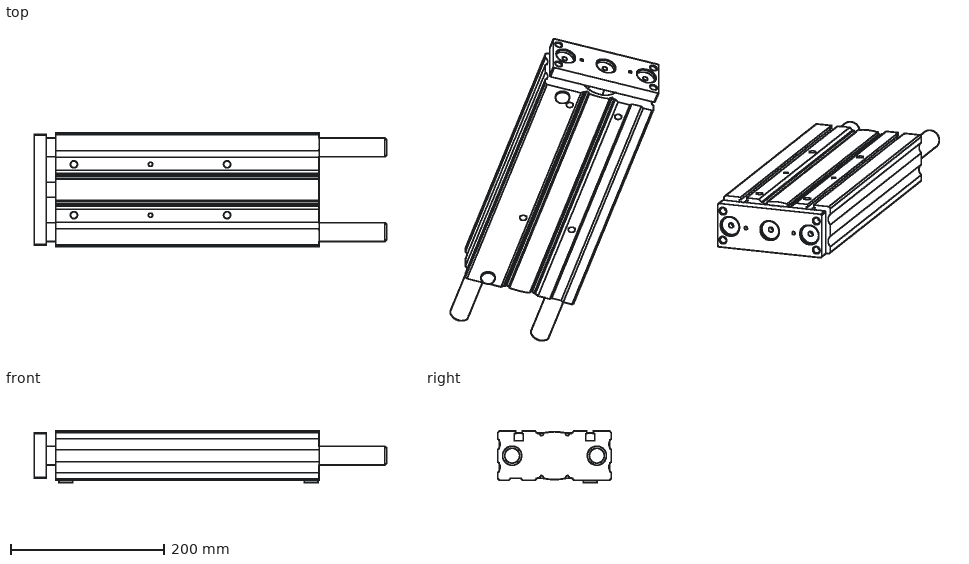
import cadquery as cq
import math

TOTAL_LENGTH = 460.0

PLATE_THICKNESS = 16.0
PLATE_WIDTH = 144.5
PLATE_HEIGHT = 59.5
PLATE_CHAMFER = 1.5
PLATE_SCREW_Y = 65.0
PLATE_SCREW_Z = 20.0
PLATE_SCREW_DIAMETER = 8.5
PLATE_SCREW_MOUTH = 10.0
PLATE_DOWEL_Y = 33.0
PLATE_DOWEL_DIAMETER = 4.0

HOUSING_START = 28.0
HOUSING_LENGTH = 343.5
HOUSING_WIDTH = 148.0
HOUSING_HEIGHT = 64.5
HOUSING_CHAMFER = 2.5
HALF_WIDTH = HOUSING_WIDTH / 2
HALF_HEIGHT = HOUSING_HEIGHT / 2

SIDE_GROOVE_INNER = 8.0
SIDE_GROOVE_OUTER = 22.0
SIDE_GROOVE_DEPTH = 3.0

VALLEY_EDGE_Y = 25.5
VALLEY_BANK = 3.5
VALLEY_LEDGE = 2.0
VALLEY_BOTTOM_Y = 17.5
VALLEY_BOTTOM_Z = 25.8
HUMP_FOOT_Y = 14.5
HUMP_FOOT_Z = 27.0
HUMP_SHOULDER_Y = 14.0
HUMP_SHOULDER_Z = 30.0
HUMP_TOP_Z = 31.5

BORE_DIAMETER = 51.5
BORE_DEPTH = 46.0

SLOT_Y = 46.5
SLOT_MOUTH = 8.5
SLOT_LIP = 3.5
SLOT_HEAD_WIDTH = 12.0
SLOT_HEAD_HEIGHT = 8.7

BOTTOM_GROOVE_Y = -50.5
BOTTOM_GROOVE_MOUTH = 18.5
BOTTOM_GROOVE_FLOOR = 13.0
BOTTOM_GROOVE_DEPTH = 2.8

HOLE_Y = 33.0
MOUNT_HOLE_X = 52.0
MOUNT_HOLE_PITCH = 199.5
MOUNT_HOLE_DIAMETER = 8.7
DOWEL_HOLE_X = MOUNT_HOLE_X + MOUNT_HOLE_PITCH / 2
DOWEL_HOLE_DIAMETER = 5.5
DOWEL_HOLE_DEPTH = 9.0

GUIDE_ROD_DIAMETER = 25.0
GUIDE_ROD_Y = 55.0
GUIDE_ROD_CHAMFER = 2.8
PISTON_ROD_DIAMETER = 20.0
PISTON_ROD_INSERTION = 69.0
PISTON_ROD_END = HOUSING_START + PISTON_ROD_INSERTION
SEAT_DEPTH = 4.5
SEAT_CHAMFER = 1.0
SEAT_MOUTH = GUIDE_ROD_DIAMETER + 2 * SEAT_CHAMFER
CENTER_HOLE_DIAMETER = 6.5
CENTER_HOLE_DEPTH = 9.0

PLUG_DIAMETER = 18.5
PLUG_HEIGHT = 2.8
PLUG_Y = SLOT_Y
FRONT_PLUG_X = 41.5
REAR_PLUG_X = 361.0


def rod_along_x(diameter, start, end, y=0.0):
    """Cylinder along X between two stations, at Z = 0."""
    return cq.Workplane("YZ", origin=(start, y, 0)).circle(diameter / 2).extrude(end - start)


def hole_cutter(diameter, x, y, z_bottom, z_top):
    """Upright cylinder that cuts a hole between two heights."""
    return cq.Workplane("XY", origin=(x, y, z_bottom)).circle(diameter / 2).extrude(z_top - z_bottom)


def countersink_cutter(mouth_diameter, depth, y, z=0.0):
    """45 degree cone that opens toward the plate face."""
    return (
        cq.Workplane("YZ", origin=(0, y, z))
        .circle(mouth_diameter / 2)
        .workplane(offset=depth)
        .circle(mouth_diameter / 2 - depth)
        .loft()
    )


def extrusion_blank():
    """Housing bar without slots or holes: one quarter of the section, mirrored across Y = 0 and Z = 0."""
    groove_floor = (HALF_WIDTH - SIDE_GROOVE_DEPTH, (SIDE_GROOVE_INNER + SIDE_GROOVE_OUTER) / 2)
    hump_rise = HUMP_TOP_Z - HUMP_SHOULDER_Z
    hump_radius = (HUMP_SHOULDER_Y**2 + hump_rise**2) / (2 * hump_rise)
    hump_middle_z = HUMP_TOP_Z - hump_radius + math.sqrt(hump_radius**2 - (HUMP_SHOULDER_Y / 2) ** 2)
    ledge_y = VALLEY_EDGE_Y - VALLEY_BANK
    quarter = (
        cq.Workplane("YZ", origin=(HOUSING_START, 0, 0))
        .lineTo(HALF_WIDTH, 0)
        .lineTo(HALF_WIDTH, SIDE_GROOVE_INNER)
        .threePointArc(groove_floor, (HALF_WIDTH, SIDE_GROOVE_OUTER))
        .lineTo(HALF_WIDTH, HALF_HEIGHT - HOUSING_CHAMFER)
        .lineTo(HALF_WIDTH - HOUSING_CHAMFER, HALF_HEIGHT)
        .lineTo(VALLEY_EDGE_Y, HALF_HEIGHT)
        .lineTo(ledge_y, HALF_HEIGHT - VALLEY_BANK)
        .lineTo(ledge_y - VALLEY_LEDGE, HALF_HEIGHT - VALLEY_BANK)
        .lineTo(VALLEY_BOTTOM_Y, VALLEY_BOTTOM_Z)
        .lineTo(HUMP_FOOT_Y, HUMP_FOOT_Z)
        .lineTo(HUMP_SHOULDER_Y, HUMP_SHOULDER_Z)
        .threePointArc((HUMP_SHOULDER_Y / 2, hump_middle_z), (0, HUMP_TOP_Z))
        .close()
        .extrude(HOUSING_LENGTH)
    )
    half = quarter.union(quarter.mirror("XZ"))
    return half.union(half.mirror("XY"))


def t_slot_cutter(y):
    """Full-length T-slot open at the top."""
    head_top = HALF_HEIGHT - SLOT_LIP
    section = cq.Workplane("YZ", origin=(HOUSING_START, y, 0))
    mouth = section.center(0, head_top).rect(SLOT_MOUTH, 2 * SLOT_LIP).extrude(HOUSING_LENGTH)
    head_middle = head_top - SLOT_HEAD_HEIGHT / 2
    head = (
        cq.Workplane("YZ", origin=(HOUSING_START, y, head_middle))
        .rect(SLOT_HEAD_WIDTH, SLOT_HEAD_HEIGHT)
        .extrude(HOUSING_LENGTH)
    )
    return mouth.union(head)


def bottom_groove_cutter():
    """Full-length groove in the bottom that widens downward."""
    half_mouth = BOTTOM_GROOVE_MOUTH / 2
    half_floor = BOTTOM_GROOVE_FLOOR / 2
    return (
        cq.Workplane("YZ", origin=(HOUSING_START, BOTTOM_GROOVE_Y, -HALF_HEIGHT))
        .polyline(
            [
                (-half_mouth, 0),
                (half_mouth, 0),
                (half_floor, BOTTOM_GROOVE_DEPTH),
                (-half_floor, BOTTOM_GROOVE_DEPTH),
            ]
        )
        .close()
        .extrude(HOUSING_LENGTH)
    )


def make_housing():
    """Extruded housing with T-slots, mounting holes and bores that fit the rods."""
    housing = extrusion_blank().cut(bottom_groove_cutter())
    dowel_bottom = HALF_HEIGHT - DOWEL_HOLE_DEPTH
    for side in (-1, 1):
        hole_y = side * HOLE_Y
        housing = housing.cut(t_slot_cutter(side * SLOT_Y))
        for x in (MOUNT_HOLE_X, MOUNT_HOLE_X + MOUNT_HOLE_PITCH):
            housing = housing.cut(hole_cutter(MOUNT_HOLE_DIAMETER, x, hole_y, -HALF_HEIGHT, HALF_HEIGHT))
        dowel_hole = hole_cutter(DOWEL_HOLE_DIAMETER, DOWEL_HOLE_X, hole_y, dowel_bottom, HALF_HEIGHT)
        housing = housing.cut(dowel_hole)
        housing = housing.cut(rod_along_x(GUIDE_ROD_DIAMETER, 0, TOTAL_LENGTH, side * GUIDE_ROD_Y))
    housing = housing.cut(rod_along_x(BORE_DIAMETER, HOUSING_START, HOUSING_START + BORE_DEPTH))
    return housing.cut(rod_along_x(PISTON_ROD_DIAMETER, 0, PISTON_ROD_END))


def center_hole_cutter(y):
    """Blind hole on a rod axis, at the plate end."""
    return rod_along_x(CENTER_HOLE_DIAMETER, 0, SEAT_DEPTH + CENTER_HOLE_DEPTH, y)


def make_plate_with_piston_rod():
    """End plate and the piston rod that drives it, with openings for the guide rods."""
    plate = (
        cq.Workplane("XY")
        .box(PLATE_THICKNESS, PLATE_WIDTH, PLATE_HEIGHT, centered=(False, True, True))
        .edges("|X")
        .chamfer(PLATE_CHAMFER)
    )
    mouth_depth = (PLATE_SCREW_MOUTH - PLATE_SCREW_DIAMETER) / 2
    for y in (-PLATE_SCREW_Y, PLATE_SCREW_Y):
        for z in (-PLATE_SCREW_Z, PLATE_SCREW_Z):
            screw_hole = rod_along_x(PLATE_SCREW_DIAMETER, 0, PLATE_THICKNESS, y).translate((0, 0, z))
            plate = plate.cut(screw_hole).cut(countersink_cutter(PLATE_SCREW_MOUTH, mouth_depth, y, z))
    for side in (-1, 1):
        guide_y = side * GUIDE_ROD_Y
        plate = plate.cut(rod_along_x(PLATE_DOWEL_DIAMETER, 0, PLATE_THICKNESS, side * PLATE_DOWEL_Y))
        plate = plate.cut(rod_along_x(GUIDE_ROD_DIAMETER, 0, PLATE_THICKNESS, guide_y))
        plate = plate.cut(countersink_cutter(SEAT_MOUTH, SEAT_CHAMFER, guide_y))
    plate = plate.cut(rod_along_x(GUIDE_ROD_DIAMETER, 0, SEAT_DEPTH))
    plate = plate.cut(countersink_cutter(SEAT_MOUTH, SEAT_CHAMFER, 0)).cut(center_hole_cutter(0))
    return plate.union(rod_along_x(PISTON_ROD_DIAMETER, PLATE_THICKNESS, PISTON_ROD_END))


def make_guide_rod(y):
    """Guide rod seated in the plate, with a chamfered free end."""
    rod = rod_along_x(GUIDE_ROD_DIAMETER, SEAT_DEPTH, TOTAL_LENGTH, y)
    return rod.faces(">X").chamfer(GUIDE_ROD_CHAMFER).cut(center_hole_cutter(y))


def make_port_plug(x):
    """Round plug that covers a port on the underside of the housing."""
    underside = cq.Workplane("XY", origin=(x, PLUG_Y, -HALF_HEIGHT))
    return underside.circle(PLUG_DIAMETER / 2).extrude(-PLUG_HEIGHT)


housing = make_housing()
plate_with_piston_rod = make_plate_with_piston_rod()
guide_rods = [make_guide_rod(side * GUIDE_ROD_Y) for side in (-1, 1)]
port_plugs = [make_port_plug(x) for x in (FRONT_PLUG_X, REAR_PLUG_X)]

result = cq.Compound.makeCompound(
    [
        housing.val(),
        plate_with_piston_rod.val(),
        *[rod.val() for rod in guide_rods],
        *[plug.val() for plug in port_plugs],
    ]
)